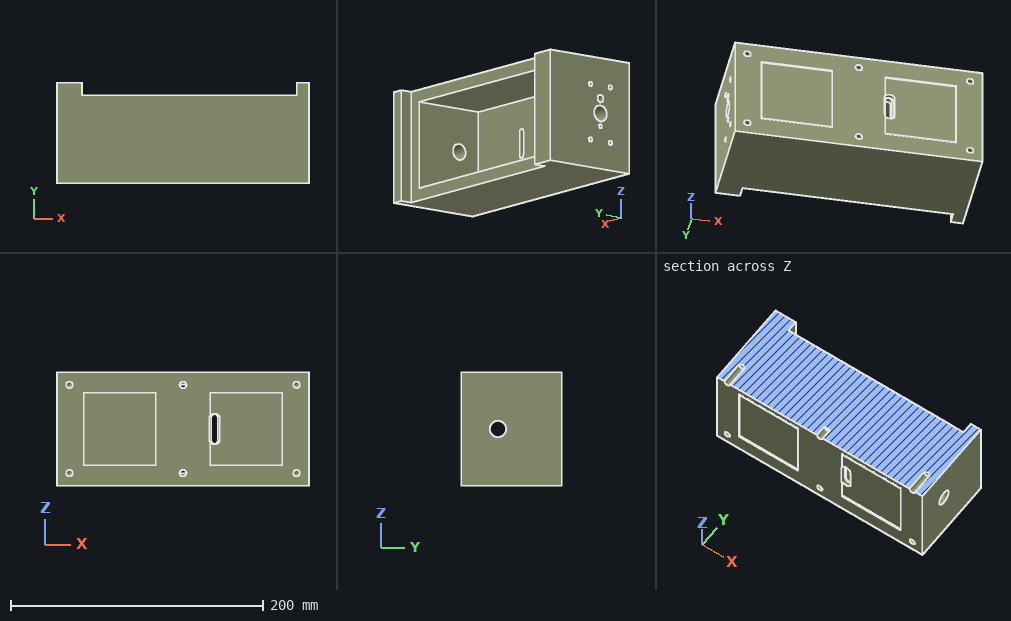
import cadquery as cq
import math

LENGTH = 200.0
DEPTH = 80.0
HEIGHT = 90.0

REAR_RECESS_DEPTH = 10.0
LEFT_FOOT_LENGTH = 20.0
RIGHT_FOOT_LENGTH = 10.0

CAVITY_HALF_HEIGHT = 35.0
END_WALL = LEFT_FOOT_LENGTH
FRONT_WALL = 10.0

WINDOW_SIZE = 57.2
WINDOW_DEPTH = 1.0
WINDOW_CENTRES_X = (LENGTH / 4, 3 * LENGTH / 4)

SLOT_X = 125.0
SLOT_NARROW_HEIGHT = 23.5
SLOT_NARROW_WIDTH = 5.0
SLOT_WIDE_HEIGHT = 24.0
SLOT_WIDE_WIDTH = 8.5
SLOT_WIDE_DEPTH = 5.0
SLOT_WIDE_CORNER_RADIUS = 3.7

SCREW_DIAMETER = 5.2
SCREW_INSET = 10.0
SCREW_DEPTH = 20.0
DRILL_POINT_ANGLE = 118.0
DRILL_POINT_HEIGHT = SCREW_DIAMETER / 2 / math.tan(math.radians(DRILL_POINT_ANGLE / 2))

GROUP_Y = 29.3
BORE_DIAMETER = 12.8
UPPER_HOLE_DIAMETER = 6.0
UPPER_HOLE_Z = 12.0
LOWER_HOLE_DIAMETER = 3.0
LOWER_HOLE_Z = -10.5
MOUNT_HOLE_DIAMETER = 3.5
MOUNT_SPACING_Y = 20.0
MOUNT_SPACING_Z = 45.0
END_HOLE_DEPTH = 10.0


def box(x0, x1, y0, y1, height):
    """Box between the given X and Y limits, centred on Z = 0."""
    return cq.Workplane("XY").box(x1 - x0, y1 - y0, height).translate(((x0 + x1) / 2, (y0 + y1) / 2, 0))


def front_hole(x, z, diameter, depth):
    """Flat-bottomed hole cutter entering the front face along +Y."""
    return cq.Workplane("XZ").center(x, z).circle(diameter / 2).extrude(-depth)


def drilled_hole(x, z):
    """Blind screw hole cutter with a conical drill point."""
    point = cq.Solid.makeCone(
        SCREW_DIAMETER / 2, 0, DRILL_POINT_HEIGHT, cq.Vector(x, SCREW_DEPTH, z), cq.Vector(0, 1, 0)
    )
    return front_hole(x, z, SCREW_DIAMETER, SCREW_DEPTH).union(cq.Workplane(point))


def end_hole(y, z, diameter, depth):
    """Hole cutter entering the left end face along +X."""
    return cq.Workplane("YZ").center(y, z).circle(diameter / 2).extrude(depth)


def wide_slot():
    """Round-cornered front step of the cable slot."""
    x0 = SLOT_X - SLOT_WIDE_WIDTH / 2
    blank = box(x0, x0 + SLOT_WIDE_WIDTH, 0, SLOT_WIDE_DEPTH, SLOT_WIDE_HEIGHT)
    return blank.edges("|Y").fillet(SLOT_WIDE_CORNER_RADIUS)


def narrow_slot():
    """Round-ended vertical slot running right through along +Y."""
    profile = cq.Workplane("XZ").center(SLOT_X, 0).slot2D(SLOT_NARROW_HEIGHT, SLOT_NARROW_WIDTH, 90)
    return profile.extrude(-DEPTH)


body = box(0, LENGTH, 0, DEPTH, HEIGHT)
recess_floor = DEPTH - REAR_RECESS_DEPTH
body = body.cut(box(LEFT_FOOT_LENGTH, LENGTH - RIGHT_FOOT_LENGTH, recess_floor, DEPTH, HEIGHT))
body = body.cut(box(END_WALL, LENGTH - END_WALL, FRONT_WALL, DEPTH, 2 * CAVITY_HALF_HEIGHT))

for window_x in WINDOW_CENTRES_X:
    half = WINDOW_SIZE / 2
    body = body.cut(box(window_x - half, window_x + half, 0, WINDOW_DEPTH, WINDOW_SIZE))

body = body.cut(wide_slot())
body = body.cut(narrow_slot())

for side in (-1, 1):
    screw_z = side * (HEIGHT / 2 - SCREW_INSET)
    body = body.cut(drilled_hole(SCREW_INSET, screw_z))
    body = body.cut(drilled_hole(LENGTH - SCREW_INSET, screw_z))
    body = body.cut(front_hole(LENGTH / 2, screw_z, SCREW_DIAMETER, FRONT_WALL))

body = body.cut(end_hole(GROUP_Y, 0, BORE_DIAMETER, LENGTH))
body = body.cut(end_hole(GROUP_Y, UPPER_HOLE_Z, UPPER_HOLE_DIAMETER, END_HOLE_DEPTH))
body = body.cut(end_hole(GROUP_Y, LOWER_HOLE_Z, LOWER_HOLE_DIAMETER, END_HOLE_DEPTH))
for side_y in (-1, 1):
    for side_z in (-1, 1):
        mount_y = GROUP_Y + side_y * MOUNT_SPACING_Y / 2
        mount_z = side_z * MOUNT_SPACING_Z / 2
        body = body.cut(end_hole(mount_y, mount_z, MOUNT_HOLE_DIAMETER, END_HOLE_DEPTH))

result = body